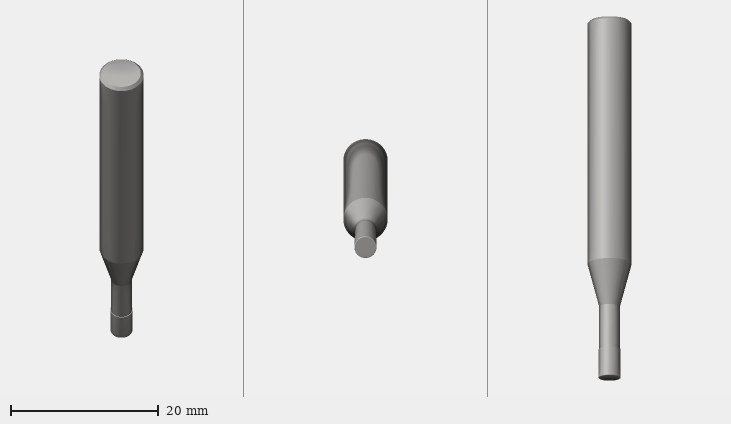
import cadquery as cq

total_length = 50.0
shank_diameter = 6.0
shank_chamfer_width = 0.4
shank_chamfer_height = 0.4
tip_diameter = 3.0
tip_length = 4.0
tip_corner_radius = 0.1
neck_diameter = 2.8
neck_length = 6.0
taper_length = 6.0

neck_top = tip_length + neck_length
taper_top = neck_top + taper_length


def make_tip():
    """Cylindrical cutting tip with a rounded lower edge."""
    tip = cq.Workplane("XY").circle(tip_diameter / 2).extrude(tip_length)
    return tip.faces("<Z").edges().fillet(tip_corner_radius)


def make_neck():
    """Plain neck, slightly thinner than the tip."""
    return cq.Workplane("XY", origin=(0, 0, tip_length)).circle(neck_diameter / 2).extrude(neck_length)


def make_shank():
    """Shank that tapers down to the neck diameter and has a chamfered upper end."""
    shank_radius = shank_diameter / 2
    half_profile = [
        (0, neck_top),
        (neck_diameter / 2, neck_top),
        (shank_radius, taper_top),
        (shank_radius, total_length - shank_chamfer_height),
        (shank_radius - shank_chamfer_width, total_length),
        (0, total_length),
    ]
    return cq.Workplane("XZ").polyline(half_profile).close().revolve(360, (0, 0), (0, 1))


tip = make_tip()
neck = make_neck()
shank = make_shank()

result = cq.Compound.makeCompound([tip.val(), neck.val(), shank.val()])